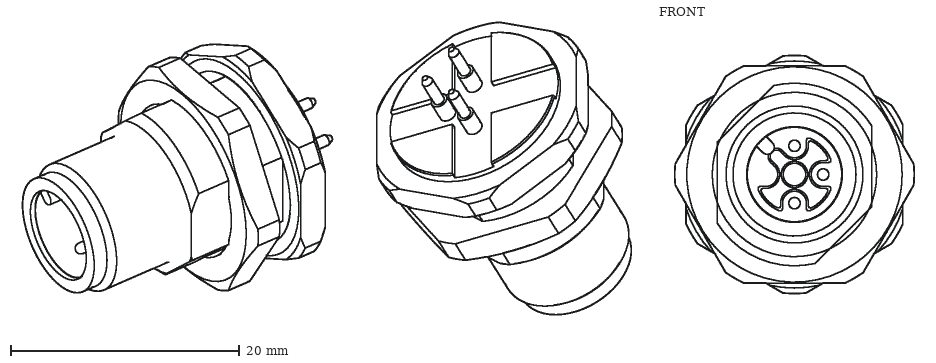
import cadquery as cq
import math

total_length = 27.6

nose_diameter = 10.8
nose_length = 1.38
sleeve_diameter = 12.0
sleeve_chamfer = (sleeve_diameter - nose_diameter) / 2

body_diameter = 16.0
body_start = 9.47
body_chamfer = 0.8
body_flat_distance = 6.8
body_flat_angles = (0, 135, 180, 315)
sleeve_root_radius = 0.5

nut_across_flats = 19.05
nut_corner_diameter = 21.0
nut_front = 13.5
nut_back = 16.35
nut_face_diameter = 18.88
nut_chamfer_length = 0.52
nut_bore_radius = 7.2

flange_across_flats = 19.02
flange_corner_diameter = 20.9
flange_front = 19.32
flange_back = 22.0
flange_chamfer = 0.5

seal_outer_radius = 9.3
seal_inner_radius = body_diameter / 2
seal_front = 18.95

boss_back = 23.02
boss_chamfer_length = 0.2
boss_chamfer_width = 0.08
slot_width = 3.7
slot_floor = 22.5

mouth_diameter = 8.4
mouth_depth = 0.5
cavity_radius = 4.15
cavity_depth = 8.28
cavity_floor_fillet = 0.25

recess_radius = 3.45
recess_depth = 0.55
recess_floor = cavity_depth + recess_depth
wall_draft = 0.17
recess_corner_fillet = 0.22
post_top_radius = 1.0
surround_top_radius = 1.05
lobe_reach = 2.24
key_angle = 135

key_radius = 0.6
key_reach = 3.37
key_front = 0.47

pin_circle_radius = 2.5
surround_angles = (0, 90, 180, 270)
pin_angles = (0, 90, 270)
pin_radius = 0.5
pin_front = 1.93
pin_thick_radius = 0.75
pin_thick_back = 24.48
pin_tip_radius = 0.25
pin_tip_length = 0.52


def revolve_about_axis(points):
    """Revolve a (radius, y) outline about the Y axis."""
    return cq.Workplane("XY").polyline(points).close().revolve(360, (0, 0, 0), (0, 1, 0))


def cylinder(radius, y_start, y_end):
    return revolve_about_axis([(0, y_start), (radius, y_start), (radius, y_end), (0, y_end)])


def front_plane(y):
    """Sketch plane at height y: local x is +X, local y is +Z, extruding toward -Y."""
    return cq.Workplane("XZ", origin=(0, y, 0))


def turn(shape, angle):
    """Turn a shape about the Y axis from +X toward +Z."""
    return shape.rotate((0, 0, 0), (0, 1, 0), -angle)


def hexagon(across_flats, y_start, y_end, first_corner_angle):
    prism = front_plane(y_end).polygon(6, across_flats / math.cos(math.pi / 6)).extrude(y_end - y_start)
    return turn(prism, first_corner_angle)


def make_sleeve():
    nose_radius = nose_diameter / 2
    radius = sleeve_diameter / 2
    root = sleeve_root_radius
    diagonal = root * math.sqrt(0.5)
    return (
        cq.Workplane("XY")
        .moveTo(0, 0)
        .lineTo(nose_radius, 0)
        .lineTo(nose_radius, nose_length)
        .lineTo(radius, nose_length + sleeve_chamfer)
        .lineTo(radius, body_start - root)
        .threePointArc((radius + root - diagonal, body_start - root + diagonal), (radius + root, body_start))
        .lineTo(0, body_start)
        .close()
        .revolve(360, (0, 0, 0), (0, 1, 0))
    )


def make_body():
    radius = body_diameter / 2
    body = revolve_about_axis([
        (0, body_start),
        (radius - body_chamfer, body_start),
        (radius, body_start + body_chamfer),
        (radius, flange_back),
        (0, flange_back),
    ])
    cutter_length = flange_front - body_start
    cutter = cq.Workplane("XY").box(radius, cutter_length, body_diameter, centered=(False, False, True))
    cutter = cutter.translate((body_flat_distance, body_start, 0))
    for angle in body_flat_angles:
        body = body.cut(turn(cutter, angle))
    return body


def make_nut():
    corner_radius = nut_corner_diameter / 2
    envelope = revolve_about_axis([
        (0, nut_front),
        (nut_face_diameter / 2, nut_front),
        (corner_radius, nut_front + nut_chamfer_length),
        (corner_radius, nut_back),
        (0, nut_back),
    ])
    nut = hexagon(nut_across_flats, nut_front, nut_back, 0).intersect(envelope)
    return nut.cut(cylinder(nut_bore_radius, nut_front, nut_back))


def make_flange():
    corner_radius = flange_corner_diameter / 2
    envelope = cylinder(corner_radius, flange_front, flange_back).edges().chamfer(flange_chamfer)
    return hexagon(flange_across_flats, flange_front, flange_back, 30).intersect(envelope)


def make_seal():
    tube_radius = (seal_outer_radius - seal_inner_radius) / 2
    ring_radius = seal_inner_radius + tube_radius
    return (
        cq.Workplane("XY")
        .center(ring_radius, seal_front + tube_radius)
        .circle(tube_radius)
        .revolve(360, (-ring_radius, 0, 0), (-ring_radius, 1, 0))
    )


def make_rear_boss():
    radius = body_diameter / 2
    boss = revolve_about_axis([
        (0, flange_back),
        (radius, flange_back),
        (radius, boss_back - boss_chamfer_length),
        (radius - boss_chamfer_width, boss_back),
        (0, boss_back),
    ])
    slot_depth = boss_back - slot_floor
    slot = cq.Workplane("XY").box(body_diameter, slot_depth, slot_width, centered=(True, False, True))
    slot = slot.translate((0, slot_floor, 0))
    return boss.cut(slot).cut(turn(slot, 90))


def make_cavity():
    bore = cylinder(cavity_radius, 0, cavity_depth).faces(">Y").edges().fillet(cavity_floor_fillet)
    return bore.union(cylinder(mouth_diameter / 2, 0, mouth_depth))


def drafted_slot(floor_half_width, reach, draft):
    """Rounded slot from the axis out to reach along +X, from the recess floor up to the cavity floor."""
    length = reach + 2 * floor_half_width
    outline = front_plane(recess_floor).center(reach / 2, 0).slot2D(length, 2 * floor_half_width)
    return outline.extrude(recess_depth, taper=draft)


def is_recess_corner(edge):
    """True for the sloping edges where the outer wall of the recess meets the pin surrounds."""
    start = edge.startPoint()
    end = edge.endPoint()
    climbs = abs(start.y - end.y) > recess_depth / 2
    return climbs and math.hypot(end.x, end.z) > recess_radius - 2 * wall_draft


def make_floor_recess():
    draft_angle = math.degrees(math.atan2(wall_draft, recess_depth))
    recess = (
        front_plane(recess_floor)
        .circle(recess_radius - wall_draft)
        .extrude(recess_depth, taper=-draft_angle)
    )

    waist_radius = pin_circle_radius * math.sqrt(0.5)
    lobe_radius = waist_radius - surround_top_radius
    quarter = front_plane(recess_floor).rect(-recess_radius, recess_radius, centered=False).extrude(recess_depth)
    quarter = quarter.cut(cylinder(waist_radius, cavity_depth, recess_floor))
    lobe = drafted_slot(lobe_radius - wall_draft, lobe_reach, -draft_angle)
    recess = recess.cut(quarter).union(turn(lobe, key_angle))

    post_base_radius = post_top_radius + wall_draft
    recess = recess.cut(front_plane(recess_floor).circle(post_base_radius).extrude(recess_depth, taper=draft_angle))
    surround = drafted_slot(surround_top_radius + wall_draft, cavity_radius, draft_angle)
    surround = surround.translate((pin_circle_radius, 0, 0))
    for angle in surround_angles:
        recess = recess.cut(turn(surround, angle))

    corners = [edge for edge in recess.edges().vals() if is_recess_corner(edge)]
    return recess.newObject(corners).fillet(recess_corner_fillet)


def make_key():
    length = cavity_radius - key_reach
    depth = recess_floor - key_front
    key = front_plane(recess_floor).circle(key_radius).extrude(depth)
    bar = front_plane(recess_floor).center(length / 2, 0).rect(length, 2 * key_radius).extrude(depth)
    return turn(key.union(bar).translate((key_reach, 0, 0)), key_angle)


def make_pin():
    dome = pin_radius * math.sqrt(0.5)
    dome_centre = pin_front + pin_radius
    return (
        cq.Workplane("XY")
        .moveTo(0, pin_front)
        .threePointArc((dome, dome_centre - dome), (pin_radius, dome_centre))
        .lineTo(pin_radius, slot_floor)
        .lineTo(pin_thick_radius, slot_floor)
        .lineTo(pin_thick_radius, pin_thick_back)
        .lineTo(pin_radius, pin_thick_back)
        .lineTo(pin_radius, total_length - pin_tip_length)
        .lineTo(pin_tip_radius, total_length)
        .lineTo(0, total_length)
        .close()
        .revolve(360, (0, 0, 0), (0, 1, 0))
        .translate((pin_circle_radius, 0, 0))
    )


result = make_sleeve().union(make_body()).union(make_nut()).union(make_flange())
result = result.union(make_seal()).union(make_rear_boss())
result = result.cut(make_cavity()).cut(make_floor_recess()).union(make_key())
pin = make_pin()
for angle in pin_angles:
    result = result.union(turn(pin, angle))